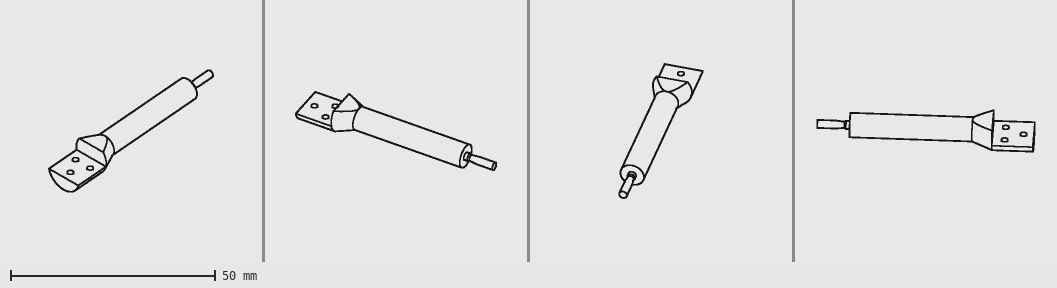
import cadquery as cq

total_length = 53.0
pad_length = 10.0
cone_length = 5.0
stem_length = 8.0

pad_radius = 5.0
shaft_radius = 3.0
pad_face_z = -1.0

stem_radius = 1.0
neck_radius = 0.8
collar_length = 0.95
flare_length = 0.5
taper_length = 2.05

hole_diameter = 1.6
hole_spacing = 4.9
pair_from_step = 3.0
single_from_step = 7.5

step_y = pad_length
shaft_start_y = step_y + cone_length
shaft_end_y = total_length - stem_length


def make_round_body():
    """Revolve the half outline of pad, cone, shaft and stem about the Y axis."""
    collar_end_y = shaft_end_y + collar_length
    neck_y = collar_end_y + flare_length
    tip_start_y = neck_y + taper_length
    outline = [
        (0, 0),
        (pad_radius, 0),
        (pad_radius, step_y),
        (shaft_radius, shaft_start_y),
        (shaft_radius, shaft_end_y),
        (stem_radius, shaft_end_y),
        (stem_radius, collar_end_y),
        (neck_radius, neck_y),
        (stem_radius, tip_start_y),
        (stem_radius, total_length),
        (0, total_length),
    ]
    return cq.Workplane("XY").polyline(outline).close().revolve(360, (0, 0, 0), (0, 1, 0))


def space_above(height, length):
    """Block that removes everything above a height, from the pad end along Y."""
    block = cq.Workplane("XY").box(2 * pad_radius, length, 2 * pad_radius, centered=(True, False, False))
    return block.translate((0, 0, height))


def make_hole_cutters():
    """Vertical cylinders for a pair near the step and a single hole near the end."""
    pair_y = step_y - pair_from_step
    centers = [
        (-hole_spacing / 2, pair_y),
        (hole_spacing / 2, pair_y),
        (0, step_y - single_from_step),
    ]
    plane = cq.Workplane("XY").workplane(offset=-pad_radius)
    return plane.pushPoints(centers).circle(hole_diameter / 2).extrude(pad_radius)


body = make_round_body()
body = body.cut(space_above(shaft_radius, shaft_start_y))
body = body.cut(space_above(pad_face_z, pad_length))
result = body.cut(make_hole_cutters())